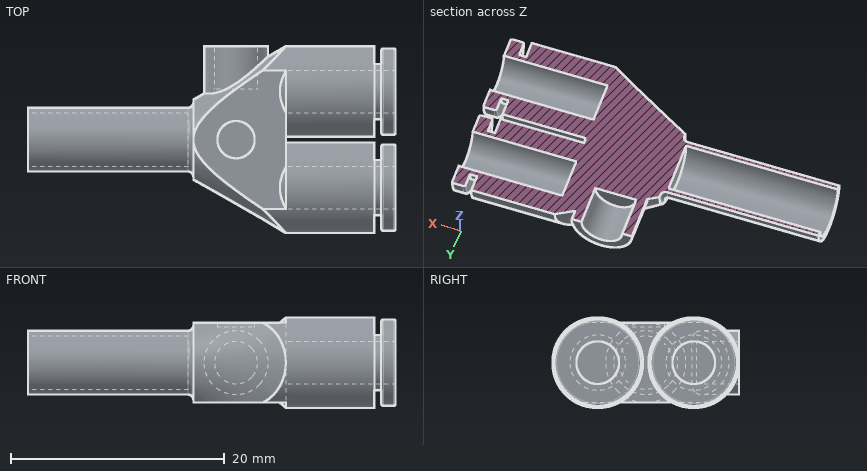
import cadquery as cq
import math

stem_radius = 3.0
stem_bore_radius = 2.5
stem_length = 15.0
stem_fillet = 0.5

body_start = stem_length + stem_fillet
body_end = 24.2
body_half_height = 3.75
body_half_angle = 30.0

socket_radius = 4.25
socket_gap = 0.5
socket_spacing = 2 * socket_radius + socket_gap
socket_positions = (-socket_spacing / 2, socket_spacing / 2)
socket_end = 32.45
socket_lead_length = 0.6
neck_radius = 2.6
collar_start = 33.1
collar_radius = 4.05
collar_rounding = 0.2
overall_length = 34.45
socket_bore_radius = 2.0

boss_x = 19.5
boss_radius = 3.0
boss_end = socket_spacing / 2 + socket_radius
boss_bore_radius = 2.0
boss_bore_depth = 4.0

recess_radius = 1.75
recess_depth = 0.4


def cylinder_x(radius, start, end, y=0.0):
    """Cylinder parallel to X, from start to end, with its axis at the given Y."""
    return cq.Workplane("YZ", origin=(start, y, 0)).circle(radius).extrude(end - start)


def revolve_about_x(profile):
    """Turn a closed XY profile a full revolution about the X axis."""
    return profile.close().revolve(360, (0, 0, 0), (1, 0, 0))


def make_stem():
    """Stem tube stock with a concave fillet where it meets the body."""
    fillet_top = stem_radius + stem_fillet
    diagonal = stem_fillet * math.sqrt(0.5)
    fillet_middle = (stem_length + diagonal, fillet_top - diagonal)
    profile = (
        cq.Workplane("XY")
        .lineTo(0, stem_radius)
        .lineTo(stem_length, stem_radius)
        .threePointArc(fillet_middle, (body_start, fillet_top))
        .lineTo(body_start, 0)
    )
    return revolve_about_x(profile)


def make_body():
    """Both socket barrels and the web between them, coned and flattened towards the stem."""
    web_length = body_end - body_start
    section = cq.Workplane("YZ", origin=(body_start, 0, 0))
    body = section.rect(socket_spacing, 2 * socket_radius).extrude(web_length)
    for y in socket_positions:
        body = body.union(cylinder_x(socket_radius, body_start, socket_end, y))

    cone_length = socket_end - body_start
    cone_end_radius = body_half_height + cone_length * math.tan(math.radians(body_half_angle))
    cone = revolve_about_x(
        cq.Workplane("XY")
        .moveTo(body_start, 0)
        .lineTo(body_start, body_half_height)
        .lineTo(socket_end, cone_end_radius)
        .lineTo(socket_end, 0)
    )
    slab = section.rect(2 * boss_end, 2 * body_half_height).extrude(web_length)
    outside_slab = section.rect(2 * boss_end, 2 * socket_radius).extrude(web_length).cut(slab)
    return body.intersect(cone).cut(outside_slab)


def make_socket_lead(y):
    """Frustum that blends the body flats up to the full barrel radius."""
    return (
        cq.Workplane("YZ", origin=(body_end - socket_lead_length, y, 0))
        .circle(body_half_height)
        .workplane(offset=socket_lead_length)
        .circle(socket_radius)
        .loft(ruled=True)
    )


def make_collar(y):
    """Neck and rounded release collar on the end of a socket."""
    neck = cylinder_x(neck_radius, socket_end, collar_start, y)
    collar = cylinder_x(collar_radius, collar_start, overall_length, y)
    return neck.union(collar.edges("%CIRCLE").fillet(collar_rounding))


def make_boss():
    """Round boss from the body centre out to the +Y side."""
    return cq.Workplane("XZ", origin=(boss_x, 0, 0)).circle(boss_radius).extrude(-boss_end)


def make_boss_bore():
    """Blind bore sunk into the end of the boss."""
    plane = cq.Workplane("XZ", origin=(boss_x, boss_end, 0))
    return plane.circle(boss_bore_radius).extrude(boss_bore_depth)


def make_recess():
    """Disc removed from the top flat of the body."""
    plane = cq.Workplane("XY", origin=(boss_x, 0, body_half_height))
    return plane.circle(recess_radius).extrude(-recess_depth)


result = make_body().union(make_stem()).union(make_boss())
for socket_y in socket_positions:
    result = result.union(make_socket_lead(socket_y)).union(make_collar(socket_y))

result = result.cut(cylinder_x(stem_bore_radius, 0, stem_length))
for socket_y in socket_positions:
    result = result.cut(cylinder_x(socket_bore_radius, body_end, overall_length, socket_y))
result = result.cut(make_boss_bore()).cut(make_recess())